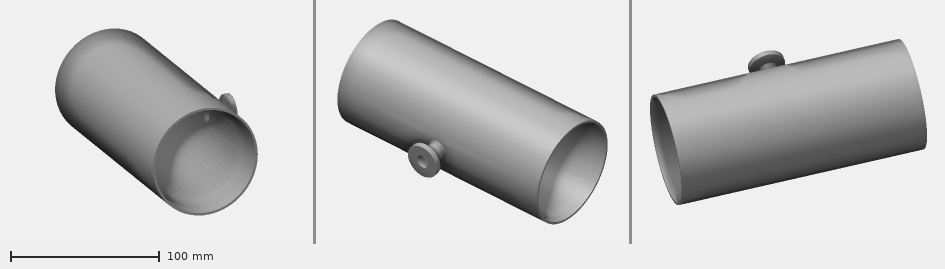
import cadquery as cq
import math

tube_length = 171.5
tube_outer_diameter = 76.1
tube_inner_diameter = 72.9
tube_outer_radius = tube_outer_diameter / 2

branch_outer_radius = 12.7 / 2
branch_bore_diameter = 9.5
branch_reach = 16.0
flange_radius = 25.0 / 2
flange_rim_depth = 3.8
flange_slope_angle = 20.0
flange_face_radius = 0.3
flange_neck_radius = 0.5
root_fillet_radius = 1.5

flange_face_y = tube_outer_radius + branch_reach
rim_back_y = flange_face_y - flange_rim_depth
slope_depth = (flange_radius - branch_outer_radius) * math.tan(math.radians(flange_slope_angle))
neck_end_y = rim_back_y - slope_depth


def circle_at(y):
    """Selector for the branch edge that lies in the plane at the given Y."""
    tolerance = 0.02
    return cq.selectors.BoxSelector(
        (-flange_radius, y - tolerance, -flange_radius),
        (flange_radius, y + tolerance, flange_radius),
    )


def make_tube():
    """Solid cylinder of the main tube; it is bored after the branch is joined."""
    return cq.Workplane("YZ").circle(tube_outer_radius).extrude(tube_length / 2, both=True)


def make_branch():
    """Solid neck and clamp flange, revolved about the Y axis from the tube centre outwards."""
    branch = (
        cq.Workplane("XY")
        .moveTo(0, 0)
        .lineTo(branch_outer_radius, 0)
        .lineTo(branch_outer_radius, neck_end_y)
        .lineTo(flange_radius, rim_back_y)
        .lineTo(flange_radius, flange_face_y)
        .lineTo(0, flange_face_y)
        .close()
        .revolve(360, (0, 0), (0, 1))
    )
    branch = branch.edges(circle_at(flange_face_y)).fillet(flange_face_radius)
    return branch.edges(circle_at(neck_end_y)).fillet(flange_neck_radius)


def round_branch_root(body):
    """Blend the saddle-shaped edge where the neck meets the tube."""
    root_box = cq.selectors.BoxSelector(
        (-flange_radius, tube_outer_radius / 2, -flange_radius),
        (flange_radius, tube_outer_radius + root_fillet_radius, flange_radius),
        boundingbox=True,
    )
    return body.edges(root_box).fillet(root_fillet_radius)


tube_bore = cq.Workplane("YZ").circle(tube_inner_diameter / 2).extrude(tube_length / 2, both=True)
branch_bore = cq.Workplane("XZ").circle(branch_bore_diameter / 2).extrude(-flange_face_y)

body = round_branch_root(make_tube().union(make_branch()))
result = body.cut(tube_bore).cut(branch_bore)